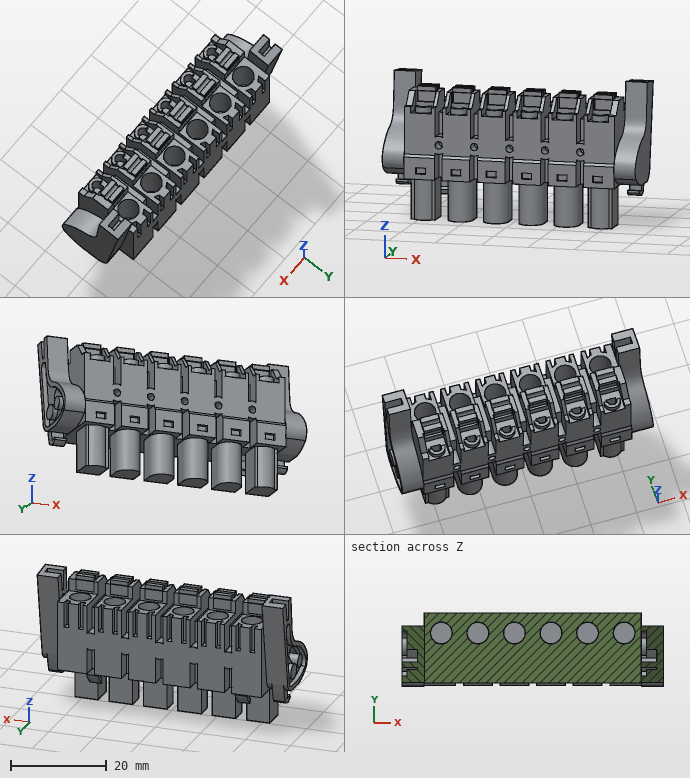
import cadquery as cq
import math


TOTAL_LENGTH = 54.55
POLE_COUNT = 6
POLE_SPAN = 38.1
PITCH = POLE_SPAN / (POLE_COUNT - 1)
LEVER_WIDTH = 4.65
HOUSING_LENGTH = TOTAL_LENGTH - 2 * LEVER_WIDTH
GAP_WIDTH = 1.65
POLE_XS = [-POLE_SPAN / 2 + i * PITCH for i in range(POLE_COUNT)]
GAP_XS = [x + PITCH / 2 for x in POLE_XS[:-1]]

BOTTOM_Z = 8.9
LEDGE_Z = 24.15
TOWER_Z = 26.9
FRONT_Y = -14.65
TOWER_BACK_Y = -6.75
TOWER_CREST_Y = -10.9
TOWER_FOOT_Y = -13.25

SKIRT_DEPTH = 0.5
SKIRT_Z = 13.5
SKIRT_TOP_Z = 14.05
WINDOW_WIDTH = 2.1
WINDOW_HEIGHT = 1.3
WINDOW_DEPTH = 0.8
WINDOW_Z = 10.7

WEB_BACK_Y = -3.15
WEB_FRONT_Y = -11.5
WEB_TOP_Z = 22.7
BRIDGE_RADIUS = 1.9
BRIDGE_Z = 16.25
BRIDGE_HOLE_RADIUS = 0.75

WIRE_RADIUS = 2.25
WIRE_Y = -4.2
WIRE_DEPTH = 10.9
NOTCH_INNER_X = 1.1
NOTCH_OUTER_X = 2.05
NOTCH_INNER_DEPTH = 1.2
NOTCH_OUTER_DEPTH = 1.75
NOTCH_HEIGHT = 5.45

POCKET_WIDTH = 4.45
POCKET_BACK_Y = -10.2
POCKET_FLOOR_Z = 22.85
COLLAR_Y = -12.65
COLLAR_RADIUS = 1.75
COLLAR_TOP_Z = 24.1
OPENING_RADIUS = 1.05
OPENING_BACK_Y = -11.65
OPENING_DEPTH = 2.7

ACTUATOR_WIDTH = 3.9
ACTUATOR_BACK_Y = -7.0
ACTUATOR_SEAT_Z = 24.5
ACTUATOR_TOP_Z = 27.75
LIP_Z = 26.8
LIP_OVERHANG = 0.5
GROOVE_BACK_Y = -8.1
GROOVE_WIDTH = 0.9
GROOVE_FLOOR_Z = 26.45

PLUG_RADIUS = 2.6
PLUG_AXIS_Y = -11.2
PLUG_BACK_Y = -7.9
END_PLUG_HALF_WIDTH = 2.55
END_PLUG_SHOULDER_Y = -13.0

HOOK_WIDTH = 2.6
HOUSING_HOOK_OUTER_X = 17.8
LEVER_HOOK_INSET = 0.9

LEVER_FOOT_Z = 8.95
RECESS_DEPTH = 1.05
SLOT_DEPTH = 3.55
PIVOT_Y, PIVOT_Z = -7.05, 12.75
PIVOT_RADIUS_Y, PIVOT_RADIUS_Z = 1.8, 1.6
PIN_Y, PIN_Z = -10.8, 13.7
PIN_RADIUS = 1.4
CAM_UPPER_Y, CAM_UPPER_Z = -8.5, 16.2
CAM_LOWER_Y, CAM_LOWER_Z = -10.9, 13.85
CAM_DEPTH = 2.2


def box(x_range, y_range, z_range):
    """Axis-aligned block between the given limits."""
    (x0, x1), (y0, y1), (z0, z1) = x_range, y_range, z_range
    return cq.Workplane("XY").box(x1 - x0, y1 - y0, z1 - z0, centered=False).translate((x0, y0, z0))


def centred_box(x, width, y_range, z_range):
    return box((x - width / 2, x + width / 2), y_range, z_range)


def side_profile(x):
    """Plane at the given X whose local axes are Y and Z; extrusions go toward +X."""
    return cq.Workplane("YZ", origin=(x, 0, 0))


def cylinder_z(x, y, radius, z_range):
    z0, z1 = z_range
    return cq.Workplane("XY", origin=(x, y, z0)).circle(radius).extrude(z1 - z0)


def cylinder_y(x, z, radius, y_range):
    y0, y1 = y_range
    return cq.Workplane("XZ", origin=(x, y1, z)).circle(radius).extrude(y1 - y0)



def housing_blank():
    """Stepped tower with the chamfered skirt, along the whole housing length."""
    return (
        side_profile(-HOUSING_LENGTH / 2)
        .polyline([
            (0, BOTTOM_Z),
            (0, LEDGE_Z),
            (TOWER_BACK_Y, LEDGE_Z),
            (TOWER_BACK_Y, TOWER_Z),
            (TOWER_CREST_Y, TOWER_Z),
            (TOWER_FOOT_Y, LEDGE_Z),
            (FRONT_Y, LEDGE_Z),
            (FRONT_Y, SKIRT_TOP_Z),
            (FRONT_Y - SKIRT_DEPTH, SKIRT_Z),
            (FRONT_Y - SKIRT_DEPTH, BOTTOM_Z),
        ])
        .close()
        .extrude(HOUSING_LENGTH)
    )


def gap_cut(x):
    """Material removed between two poles, leaving the web and the round bridge."""
    gap = centred_box(x, GAP_WIDTH, (FRONT_Y - SKIRT_DEPTH, 0), (BOTTOM_Z, TOWER_Z))
    web = centred_box(x, GAP_WIDTH, (WEB_FRONT_Y, WEB_BACK_Y), (BOTTOM_Z, WEB_TOP_Z))
    bridge = cylinder_y(x, BRIDGE_Z, BRIDGE_RADIUS, (FRONT_Y, 0))
    bridge_hole = cylinder_y(x, BRIDGE_Z, BRIDGE_HOLE_RADIUS, (FRONT_Y, WEB_FRONT_Y))
    return gap.cut(web).cut(bridge).union(bridge_hole)


def rear_notch(x, side):
    """Slant-ended notch in the rear face, on one side of the wire entry."""
    return (
        cq.Workplane("XY", origin=(x, 0, LEDGE_Z))
        .polyline([
            (side * NOTCH_INNER_X, 0),
            (side * NOTCH_INNER_X, -NOTCH_INNER_DEPTH),
            (side * NOTCH_OUTER_X, -NOTCH_OUTER_DEPTH),
            (side * NOTCH_OUTER_X, 0),
        ])
        .close()
        .extrude(-NOTCH_HEIGHT)
    )


def test_opening(x, z_range):
    """Opening with a square rear end and a round front end."""
    square_end = centred_box(x, 2 * OPENING_RADIUS, (COLLAR_Y, OPENING_BACK_Y), z_range)
    return cylinder_z(x, COLLAR_Y, OPENING_RADIUS, z_range).union(square_end)


def half_collar(x):
    """Half ring standing on the pocket floor, around the front of the test opening."""
    z_range = (POCKET_FLOOR_Z, COLLAR_TOP_Z)
    front_half = centred_box(x, 2 * COLLAR_RADIUS, (COLLAR_Y - COLLAR_RADIUS, COLLAR_Y), z_range)
    ring = cylinder_z(x, COLLAR_Y, COLLAR_RADIUS, z_range).cut(test_opening(x, z_range))
    return ring.intersect(front_half)


def pole_cut(x):
    """All openings of one pole."""
    wire_entry = cylinder_z(x, WIRE_Y, WIRE_RADIUS, (LEDGE_Z - WIRE_DEPTH, LEDGE_Z))
    pocket = centred_box(x, POCKET_WIDTH, (FRONT_Y, POCKET_BACK_Y), (POCKET_FLOOR_Z, TOWER_Z))
    actuator_slot = centred_box(
        x, ACTUATOR_WIDTH, (POCKET_BACK_Y, ACTUATOR_BACK_Y), (ACTUATOR_SEAT_Z, TOWER_Z)
    )
    opening = test_opening(x, (POCKET_FLOOR_Z - OPENING_DEPTH, POCKET_FLOOR_Z))
    skirt_y = FRONT_Y - SKIRT_DEPTH
    window = centred_box(
        x,
        WINDOW_WIDTH,
        (skirt_y, skirt_y + WINDOW_DEPTH),
        (WINDOW_Z - WINDOW_HEIGHT / 2, WINDOW_Z + WINDOW_HEIGHT / 2),
    )
    cut = wire_entry.union(pocket).union(actuator_slot).union(opening).union(window)
    for side in (-1, 1):
        cut = cut.union(rear_notch(x, side))
    return cut


def plug(x):
    """Round-fronted plug below one pole; the two end plugs have square shoulders."""
    z_range = (0, BOTTOM_Z)
    barrel = cylinder_z(x, PLUG_AXIS_Y, PLUG_RADIUS, z_range)
    is_end = x in (POLE_XS[0], POLE_XS[-1])
    half_width = END_PLUG_HALF_WIDTH if is_end else PLUG_RADIUS
    block_front_y = END_PLUG_SHOULDER_Y if is_end else PLUG_AXIS_Y
    block = centred_box(x, 2 * half_width, (block_front_y, PLUG_BACK_Y), z_range)
    envelope = centred_box(x, 2 * half_width, (PLUG_AXIS_Y - PLUG_RADIUS, PLUG_BACK_Y), z_range)
    return barrel.union(block).intersect(envelope)


def housing_hook(x):
    """Latch hook under the housing, starting at the given X."""
    return (
        side_profile(x)
        .polyline([
            (-4.3, BOTTOM_Z),
            (-4.6, 6.75),
            (-4.95, 6.0),
            (-6.45, 4.4),
            (-6.75, 5.4),
            (-6.1, 5.95),
            (-6.1, 7.75),
            (-6.5, BOTTOM_Z),
        ])
        .close()
        .extrude(HOOK_WIDTH)
    )


def make_housing():
    housing = housing_blank()
    for x in GAP_XS:
        housing = housing.cut(gap_cut(x))
    for x in POLE_XS:
        housing = housing.cut(pole_cut(x)).union(half_collar(x)).union(plug(x))
    for x in (-HOUSING_HOOK_OUTER_X, HOUSING_HOOK_OUTER_X - HOOK_WIDTH):
        housing = housing.union(housing_hook(x))
    return housing



def make_actuator(x):
    """Push block with two finger ribs, a round-bottomed groove and an overhanging front lip."""
    block = (
        side_profile(x - ACTUATOR_WIDTH / 2)
        .polyline([
            (ACTUATOR_BACK_Y, ACTUATOR_SEAT_Z),
            (ACTUATOR_BACK_Y, ACTUATOR_TOP_Z),
            (POCKET_BACK_Y, ACTUATOR_TOP_Z),
            (POCKET_BACK_Y, LIP_Z),
            (POCKET_BACK_Y + LIP_OVERHANG, LIP_Z),
            (POCKET_BACK_Y + LIP_OVERHANG, ACTUATOR_SEAT_Z),
        ])
        .close()
        .extrude(ACTUATOR_WIDTH)
    )
    groove_radius = GROOVE_WIDTH / 2
    groove_front_y = GROOVE_BACK_Y - GROOVE_WIDTH
    groove = (
        side_profile(x - ACTUATOR_WIDTH / 2)
        .moveTo(GROOVE_BACK_Y, ACTUATOR_TOP_Z)
        .lineTo(GROOVE_BACK_Y, GROOVE_FLOOR_Z + groove_radius)
        .threePointArc(
            (GROOVE_BACK_Y - groove_radius, GROOVE_FLOOR_Z),
            (groove_front_y, GROOVE_FLOOR_Z + groove_radius),
        )
        .lineTo(groove_front_y, ACTUATOR_TOP_Z)
        .close()
        .extrude(ACTUATOR_WIDTH)
    )
    return block.cut(groove)



def lever_body(x):
    """Handle sweeping down into a rounded cam plate."""
    return (
        side_profile(x)
        .moveTo(-0.4, 29.4)
        .lineTo(-5.4, 29.95)
        .lineTo(-6.1, 22.35)
        .tangentArcPoint((-9.05, 18.75), relative=False)
        .tangentArcPoint((-14.8, 14.65), relative=False)
        .threePointArc((-15.3, 12.75), (-14.65, 10.95))
        .threePointArc((-12.7, 9.75), (-10.0, LEVER_FOOT_Z))
        .lineTo(-5.8, LEVER_FOOT_Z)
        .threePointArc((-4.3, 9.55), (-3.4, 10.8))
        .close()
        .extrude(LEVER_WIDTH)
    )


def lever_recess(x):
    """Shallow recess that leaves a rim around the lever's -X face."""
    return (
        side_profile(x)
        .moveTo(-2.5, 23.55)
        .threePointArc((-3.6, 24.6), (-4.75, 23.45))
        .lineTo(-4.95, 21.5)
        .threePointArc((-6.0, 19.4), (-7.65, 18.1))
        .lineTo(-9.25, 17.65)
        .threePointArc((-12.0, 16.05), (-14.1, 13.5))
        .threePointArc((-14.45, 12.65), (-13.95, 11.35))
        .threePointArc((-11.85, 10.35), (-9.45, 9.85))
        .lineTo(-6.0, 9.85)
        .threePointArc((-4.85, 10.3), (-4.35, 11.3))
        .close()
        .extrude(RECESS_DEPTH)
    )


def handle_slot(x):
    """Tapered slot in the top of the handle, open toward -X."""
    return (
        side_profile(x)
        .polyline([(-2.1, 30.55), (-3.0, 25.65), (-3.8, 25.65), (-3.8, 30.55)])
        .close()
        .extrude(SLOT_DEPTH)
    )


def cam_slot(x):
    """Oblong slot sunk into the recess floor."""
    run_y = CAM_LOWER_Y - CAM_UPPER_Y
    run_z = CAM_LOWER_Z - CAM_UPPER_Z
    slot_length = math.hypot(run_y, run_z) + 2 * PIN_RADIUS
    slot_angle = math.degrees(math.atan2(run_z, run_y))
    return (
        side_profile(x + RECESS_DEPTH)
        .center((CAM_UPPER_Y + CAM_LOWER_Y) / 2, (CAM_UPPER_Z + CAM_LOWER_Z) / 2)
        .slot2D(slot_length, 2 * PIN_RADIUS, slot_angle)
        .extrude(CAM_DEPTH)
    )


def recess_bosses(x):
    """Oval pivot on the recess floor and round pin on the slot floor, both flush with the rim."""
    pivot = (
        side_profile(x)
        .center(PIVOT_Y, PIVOT_Z)
        .ellipse(PIVOT_RADIUS_Y, PIVOT_RADIUS_Z)
        .extrude(RECESS_DEPTH)
    )
    pin = side_profile(x).center(PIN_Y, PIN_Z).circle(PIN_RADIUS).extrude(RECESS_DEPTH + CAM_DEPTH)
    return pivot.union(pin)


def lever_hook(x):
    """Latch hook at the foot of the lever; its shank runs up into the cam plate."""
    return (
        side_profile(x + LEVER_HOOK_INSET)
        .moveTo(-3.4, 10.8)
        .lineTo(-3.85, 8.6)
        .lineTo(-4.4, 6.75)
        .threePointArc((-5.8, 6.05), (-7.45, 6.75))
        .lineTo(-7.4, 7.25)
        .lineTo(-5.85, 7.05)
        .lineTo(-5.7, 10.8)
        .close()
        .extrude(HOOK_WIDTH)
    )


def make_lever(x):
    """One lever, with its -X face at the given X."""
    plate = lever_body(x).union(lever_hook(x))
    plate = plate.cut(lever_recess(x)).cut(cam_slot(x)).cut(handle_slot(x))
    return plate.union(recess_bosses(x))


housing = make_housing()
actuators = [make_actuator(x) for x in POLE_XS]
levers = [make_lever(x) for x in (-TOTAL_LENGTH / 2, HOUSING_LENGTH / 2)]

result = cq.Compound.makeCompound(
    [housing.val()]
    + [actuator.val() for actuator in actuators]
    + [lever.val() for lever in levers]
)